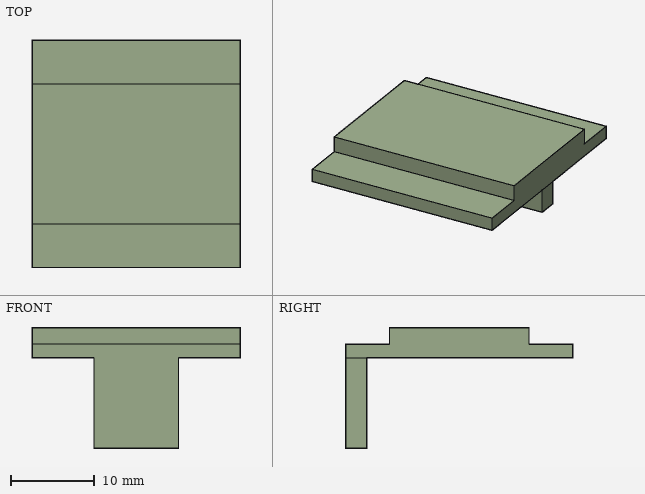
import cadquery as cq

width = 24.8
depth = 27.1
height = 14.4

plate_thickness = 1.65
band_height = 1.98
band_depth = 16.67

leg_width = 10.08
leg_thickness = 2.55
leg_height = height - plate_thickness - band_height


def block(size_x, size_y, size_z, bottom, front):
    """Box centred on X, starting at the given front Y and bottom Z."""
    return (
        cq.Workplane("XY")
        .box(size_x, size_y, size_z, centered=(True, False, False))
        .translate((0, front, bottom))
    )


front_edge = -depth / 2
plate = block(width, depth, plate_thickness, 0, front_edge)
band = block(width, band_depth, band_height, plate_thickness, -band_depth / 2)
leg = block(leg_width, leg_thickness, leg_height, -leg_height, front_edge)

result = plate.union(band).union(leg)